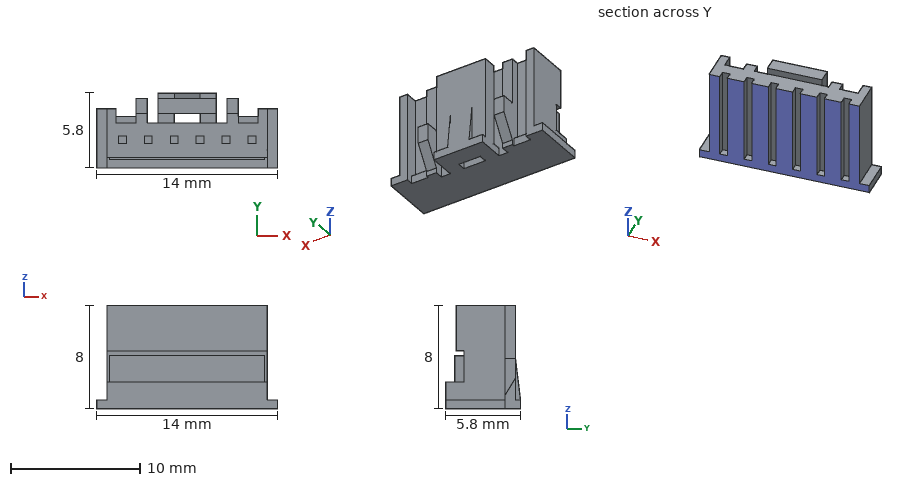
import cadquery as cq

length = 14.0
depth = 5.8
height = 8.0

body_length = 12.4
body_front = 0.81
body_back = 3.5
flange_height = 0.7
step_height = 2.09

groove_top = 4.5
groove_back = 1.4
rail_front = 0.69
rail_top = 4.12
rail_inset = 0.21

column_width = 0.71
column_back = 4.6
ledge_back = 4.0

post_inner = 3.07
post_outer = 3.96
post_back = 4.21
hook_top = 3.9
hook_tip_bottom = 2.41
hook_root_bottom = 0.43

latch_half_width = 2.25
window_half_width = 1.0
latch_front = post_back
latch_back = 5.4

hole_count = 6
hole_pitch = 2.0
hole_size = 0.6
hole_y = 2.2
hole_depth = height - flange_height


def box(x_range, y_range, z_range):
    """Box spanning the given (low, high) ranges."""
    lows, highs = zip(x_range, y_range, z_range)
    sizes = [high - low for low, high in zip(lows, highs)]
    return cq.Workplane("XY").box(*sizes, centered=False).translate(lows)


def centred_box(width, y_range, z_range):
    """Box of the given X width, centred on X = 0."""
    return box((-width / 2, width / 2), y_range, z_range)


def extrude_profile(points, x_low, x_high):
    """Closed (Y, Z) outline extruded from x_low to x_high."""
    profile = cq.Workplane("YZ").workplane(offset=x_low).polyline(points).close()
    return profile.extrude(x_high - x_low)


def make_body():
    """Stepped housing with its groove, rail and end flanges."""
    outline = [
        (0, 0),
        (body_back, 0),
        (body_back, height),
        (body_front, height),
        (body_front, groove_top),
        (groove_back, groove_top),
        (groove_back, step_height),
        (0, step_height),
    ]
    body = extrude_profile(outline, -body_length / 2, body_length / 2)
    rail_length = body_length - 2 * rail_inset
    rail = centred_box(rail_length, (rail_front, groove_back), (step_height, rail_top))
    flange = centred_box(length, (0, body_back), (0, flange_height))
    return body.union(rail).union(flange)


def make_rear_corner():
    """Column, flange end and low ledge behind the +X end of the body."""
    column_outer = body_length / 2
    column_inner = column_outer - column_width
    column = box((column_inner, column_outer), (body_back, column_back), (0, height))
    flange_end = box((column_inner, length / 2), (body_back, column_back), (0, flange_height))
    ledge = box((post_outer, column_inner), (body_back, ledge_back), (0, flange_height))
    return column.union(flange_end).union(ledge)


def make_post():
    """Full-height post on the +X side, with a hook sloping on its underside."""
    outline = [
        (body_back, 0),
        (post_back, 0),
        (post_back, hook_root_bottom),
        (latch_back, hook_tip_bottom),
        (latch_back, hook_top),
        (post_back, hook_top),
        (post_back, height),
        (body_back, height),
    ]
    return extrude_profile(outline, post_inner, post_outer)


def make_latch():
    """Plate with a wedge on its back, a foot and two legs to the body."""
    width = 2 * latch_half_width
    window_width = 2 * window_half_width
    plate = centred_box(width, (latch_front, latch_back), (0, height))
    foot = centred_box(width, (body_back, depth), (0, flange_height))
    window = centred_box(window_width, (body_back, latch_front), (0, flange_height))
    wedge_outline = [
        (latch_back, flange_height),
        (depth, flange_height),
        (latch_back, hook_top),
    ]
    wedge = extrude_profile(wedge_outline, -window_half_width, window_half_width)
    return plate.union(foot.cut(window)).union(wedge)


def make_holes():
    """Row of square blind holes opening on the top face."""
    return (
        cq.Workplane("XY")
        .workplane(offset=height)
        .center(0, hole_y)
        .rarray(hole_pitch, 0.14, hole_count, 1)
        .rect(hole_size, hole_size)
        .extrude(-hole_depth)
    )


result = make_body().union(make_latch())
for side_feature in (make_rear_corner(), make_post()):
    result = result.union(side_feature).union(side_feature.mirror("YZ"))
result = result.cut(make_holes())